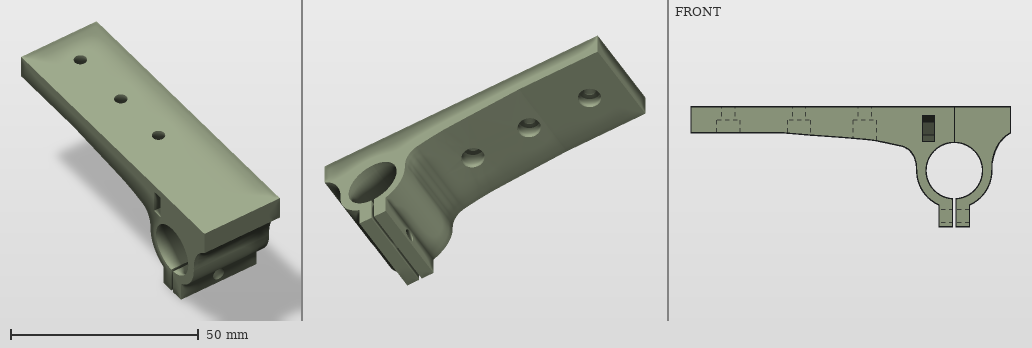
import cadquery as cq
import math

WIDTH = 24.5
TOP_Z = 17.0
SLAB_THICKNESS = 7.0
ARM_LENGTH = 70.0
CAP_LENGTH = 15.0
BORE_RADIUS = 7.5
CLAMP_RADIUS = 10.0
LUG_BOTTOM_Z = -15.0
LUG_HALF_WIDTH = 4.1
SLIT_WIDTH = 0.85

FLAT_END_X = -45.6
UNDERSIDE_START_TANGENT = (12, -1)
UNDERSIDE_CURVE = [(-33.0, 9.0), (-20.5, 7.9), (-15.4, 6.9), (-12.0, 5.5), (-10.6, 3.6)]
FLANK_CURVE = [(10.7, 4.9), (12.2, 7.7)]

SCREW_DIAMETER = 3.6
HEAD_DIAMETER = 6.2
HEAD_SEAT_Z = TOP_Z - SLAB_THICKNESS / 2
ARM_SCREW_X = [-60.1, -41.3, -23.8]
LUG_SCREW_Z = -12.1

NUT_SLOT_X = -6.9
NUT_SLOT_THICKNESS = 3.15
NUT_SLOT_Z = 11.2
NUT_ACROSS_CORNERS = 7.0

slab_bottom_z = TOP_Z - SLAB_THICKNESS
lug_top_z = -math.sqrt(CLAMP_RADIUS**2 - LUG_HALF_WIDTH**2)
clamp_diagonal = CLAMP_RADIUS * math.sqrt(0.5)
front_y = -WIDTH / 2


def profile_plane():
    """XZ plane at the back face, so that extrusion runs towards -Y."""
    return cq.Workplane("XZ", origin=(0, WIDTH / 2, 0))


def cut_bore_and_lug_hole(body):
    bore = profile_plane().circle(BORE_RADIUS).extrude(WIDTH)
    lug_hole = (
        cq.Workplane("YZ", origin=(-LUG_HALF_WIDTH, 0, 0))
        .center(0, LUG_SCREW_Z)
        .circle(SCREW_DIAMETER / 2)
        .extrude(2 * LUG_HALF_WIDTH)
    )
    return body.cut(bore).cut(lug_hole)


def lower_half_clamp(outline, side):
    """Continue an outline from the clamp's side, down its lug and up to the bore."""
    return (
        outline
        .threePointArc((side * clamp_diagonal, -clamp_diagonal), (side * LUG_HALF_WIDTH, lug_top_z))
        .lineTo(side * LUG_HALF_WIDTH, LUG_BOTTOM_Z)
        .lineTo(side * SLIT_WIDTH / 2, LUG_BOTTOM_Z)
        .lineTo(side * SLIT_WIDTH / 2, 0)
        .lineTo(0, 0)
        .close()
    )


def arm_screw_hole(x):
    """Screw clearance hole from the top, with a head recess from below."""
    shank = cq.Workplane("XY").center(x, 0).circle(SCREW_DIAMETER / 2).extrude(TOP_Z)
    head = cq.Workplane("XY").center(x, 0).circle(HEAD_DIAMETER / 2).extrude(HEAD_SEAT_Z)
    return shank.union(head)


def nut_slot():
    """Slot as tall as the nut across its corners, with one flat of the hexagon as its end."""
    half_height = NUT_ACROSS_CORNERS / 2
    half_flat = NUT_ACROSS_CORNERS / 4
    end_y = half_height * math.cos(math.radians(30))
    return (
        cq.Workplane("YZ", origin=(NUT_SLOT_X - NUT_SLOT_THICKNESS / 2, 0, NUT_SLOT_Z))
        .moveTo(front_y, -half_height)
        .lineTo(0, -half_height)
        .lineTo(end_y, -half_flat)
        .lineTo(end_y, half_flat)
        .lineTo(0, half_height)
        .lineTo(front_y, half_height)
        .close()
        .extrude(NUT_SLOT_THICKNESS)
    )


def make_arm():
    """Long mounting arm with the left half of the clamp."""
    outline = (
        profile_plane()
        .moveTo(0, TOP_Z)
        .lineTo(-ARM_LENGTH, TOP_Z)
        .lineTo(-ARM_LENGTH, slab_bottom_z)
        .lineTo(FLAT_END_X, slab_bottom_z)
        .spline(
            UNDERSIDE_CURVE + [(-CLAMP_RADIUS, 0)],
            tangents=[UNDERSIDE_START_TANGENT, (0, -1)],
            includeCurrent=True,
        )
    )
    arm = cut_bore_and_lug_hole(lower_half_clamp(outline, -1).extrude(WIDTH))
    for x in ARM_SCREW_X:
        arm = arm.cut(arm_screw_hole(x))
    return arm.cut(nut_slot())


def make_cap():
    """Short block with the right half of the clamp."""
    flank_top = (CAP_LENGTH, slab_bottom_z)
    outline = (
        profile_plane()
        .moveTo(0, TOP_Z)
        .lineTo(CAP_LENGTH, TOP_Z)
        .lineTo(*flank_top)
        .spline(FLANK_CURVE[::-1] + [(CLAMP_RADIUS, 0)], includeCurrent=True)
    )
    return cut_bore_and_lug_hole(lower_half_clamp(outline, 1).extrude(WIDTH))


arm = make_arm()
cap = make_cap()
result = cq.Compound.makeCompound([arm.val(), cap.val()])